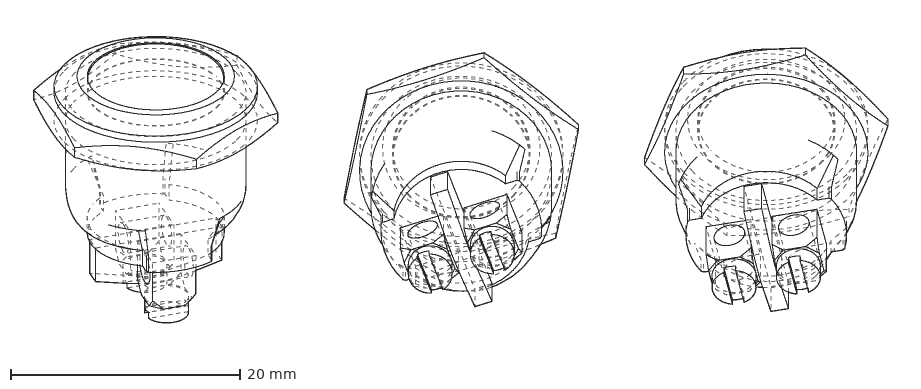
import cadquery as cq
import math


screw_tip_z = 0.0
terminal_bottom_z = 1.6
base_bottom_z = 6.4
base_top_z = 7.95
barrel_bottom_z = 11.0
nut_bottom_z = 17.68
bezel_bottom_z = 20.49
bezel_edge_z = 21.1
bezel_top_z = 22.1

bezel_radius = 8.88
bezel_face_radius = 6.87
barrel_radius = 7.9

button_pocket_radius = 6.0
button_clearance = 0.07
button_edge_radius = 0.18
button_radius = button_pocket_radius - button_clearance

nut_across_flats = 18.8
nut_corner_radius = nut_across_flats / 2 / math.cos(math.pi / 6)
nut_chamfer_height = 0.93

plug_radius = 6.0
lobe_radius = 7.03
lobe_half_width = 3.03
lobe_corner = 0.27
shoulder_y = 3.98
lobe_edge_y = 3.43
transition_steps = 10

divider_thickness = 1.6
divider_half_length = 5.83
divider_end_z = 3.03
divider_point_z = 1.6
divider_tip_radius = 12.15

terminal_width = 4.0
terminal_spacing = 5.88
corner_cut = 1.0
screw_spacing = 5.75
screw_radius = 1.92
slot_width = 1.04
slot_depth = 0.6
wire_hole_radius = 1.37
wire_hole_z = 4.75


def point_on_circle(radius, y):
    """Point at the given Y on the +X half of a circle about the axis."""
    return (math.sqrt(radius**2 - y**2), y)


def blend(start, end, share):
    return tuple(a + (b - a) * share for a, b in zip(start, end))


base_corners = [
    point_on_circle(plug_radius, lobe_half_width),
    (point_on_circle(lobe_radius, lobe_half_width)[0] - lobe_corner / 2, lobe_half_width),
    point_on_circle(lobe_radius, lobe_half_width - lobe_corner / 2),
]
barrel_corners = [
    point_on_circle(barrel_radius, shoulder_y),
    point_on_circle(barrel_radius, lobe_edge_y + lobe_corner / 2),
    point_on_circle(barrel_radius, lobe_edge_y),
]


def lobed_section(z, corners, lobe_reach, plug_reach):
    """Closed outline with a lobe on each X side and a broad arc on each Y side."""
    inner, outer, tip = corners

    def place(point, side_x, side_y):
        return (side_x * point[0], side_y * point[1])

    return (
        cq.Workplane("XY", origin=(0, 0, z))
        .moveTo(*place(tip, 1, -1))
        .threePointArc((lobe_reach, 0), tip)
        .lineTo(*outer)
        .lineTo(*inner)
        .threePointArc((0, plug_reach), place(inner, -1, 1))
        .lineTo(*place(outer, -1, 1))
        .lineTo(*place(tip, -1, 1))
        .threePointArc((-lobe_reach, 0), place(tip, -1, -1))
        .lineTo(*place(outer, -1, -1))
        .lineTo(*place(inner, -1, -1))
        .threePointArc((0, -plug_reach), place(inner, 1, -1))
        .lineTo(*place(outer, 1, -1))
        .close()
    )


def make_transition():
    """Barrel to base: straight taper on the lobes, quarter-ellipse dome on the Y sides."""
    sections = []
    for step in range(transition_steps + 1):
        angle = math.pi / 2 * step / transition_steps
        share = math.sin(angle)
        z = barrel_bottom_z + (base_top_z - barrel_bottom_z) * share
        corners = [blend(a, b, share) for a, b in zip(barrel_corners, base_corners)]
        lobe_reach = barrel_radius + (lobe_radius - barrel_radius) * share
        plug_reach = plug_radius + (barrel_radius - plug_radius) * math.cos(angle)
        sections.append(lobed_section(z, corners, lobe_reach, plug_reach).val())
    return cq.Workplane(cq.Solid.makeLoft(sections))


def make_divider():
    """Wall along Y whose underside slopes to a rounded tip on the axis."""
    return (
        cq.Workplane("YZ", origin=(-divider_thickness / 2, 0, 0))
        .moveTo(-divider_half_length, base_bottom_z)
        .lineTo(-divider_half_length, divider_end_z)
        .lineTo(0, divider_point_z)
        .lineTo(divider_half_length, divider_end_z)
        .lineTo(divider_half_length, base_bottom_z)
        .close()
        .extrude(divider_thickness)
        .edges("<Z")
        .fillet(divider_tip_radius)
    )


def make_housing():
    """Bezel, barrel, transition, base and divider, with a pocket for the button."""
    turned = (
        cq.Workplane("XZ")
        .moveTo(0, barrel_bottom_z)
        .lineTo(barrel_radius, barrel_bottom_z)
        .lineTo(barrel_radius, bezel_bottom_z)
        .lineTo(bezel_radius, bezel_bottom_z)
        .lineTo(bezel_radius, bezel_edge_z)
        .lineTo(bezel_face_radius, bezel_top_z)
        .lineTo(0, bezel_top_z)
        .close()
        .revolve(360, (0, 0), (0, 1))
    )
    pocket = (
        cq.Workplane("XY", origin=(0, 0, bezel_bottom_z))
        .circle(button_pocket_radius)
        .extrude(bezel_top_z - bezel_bottom_z)
    )
    base = lobed_section(base_bottom_z, base_corners, lobe_radius, plug_radius).extrude(
        base_top_z - base_bottom_z
    )
    return turned.cut(pocket).union(make_transition()).union(base).union(make_divider())


def make_button():
    """Disc with a rounded rim standing on the floor of the bezel pocket."""
    return (
        cq.Workplane("XY", origin=(0, 0, bezel_bottom_z))
        .circle(button_radius)
        .extrude(bezel_top_z - bezel_bottom_z)
        .faces(">Z")
        .edges()
        .fillet(button_edge_radius)
    )


def make_nut():
    """Hexagon with conical corners, fitted around the barrel against the bezel."""
    hexagon = (
        cq.Workplane("XY", origin=(0, 0, nut_bottom_z))
        .polygon(6, 2 * nut_corner_radius)
        .extrude(bezel_bottom_z - nut_bottom_z)
    )
    cones = (
        cq.Workplane("XZ")
        .moveTo(barrel_radius, nut_bottom_z)
        .lineTo(bezel_radius, nut_bottom_z)
        .lineTo(nut_corner_radius, nut_bottom_z + nut_chamfer_height)
        .lineTo(nut_corner_radius, bezel_bottom_z - nut_chamfer_height)
        .lineTo(bezel_radius, bezel_bottom_z)
        .lineTo(barrel_radius, bezel_bottom_z)
        .close()
        .revolve(360, (0, 0), (0, 1))
    )
    return hexagon.intersect(cones)


def make_terminal(side):
    """Square clamp block with a wire hole along Y and a slotted screw below it."""
    block_x = side * terminal_spacing / 2
    screw_x = side * screw_spacing / 2
    block_height = base_bottom_z - terminal_bottom_z

    block = (
        cq.Workplane("XY", origin=(block_x, 0, terminal_bottom_z))
        .rect(terminal_width, terminal_width)
        .extrude(block_height)
    )
    diamond_reach = terminal_width - corner_cut
    corner_slicer = (
        cq.Workplane("XY", origin=(block_x, 0, terminal_bottom_z))
        .polygon(4, 2 * diamond_reach)
        .workplane(offset=block_height)
        .polygon(4, 2 * (diamond_reach + block_height))
        .loft(ruled=True)
    )
    wire_hole = (
        cq.Workplane("XZ", origin=(screw_x, 0, wire_hole_z))
        .circle(wire_hole_radius)
        .extrude(terminal_width, both=True)
    )
    screw = (
        cq.Workplane("XY", origin=(screw_x, 0, screw_tip_z))
        .circle(screw_radius)
        .extrude(terminal_bottom_z - screw_tip_z)
    )
    slot = (
        cq.Workplane("XY", origin=(screw_x, 0, screw_tip_z))
        .rect(slot_width, 2 * screw_radius)
        .extrude(slot_depth)
    )
    return block.intersect(corner_slicer).cut(wire_hole).union(screw.cut(slot))


housing = make_housing()
button = make_button()
nut = make_nut()
terminals = [make_terminal(side) for side in (-1, 1)]

result = cq.Compound.makeCompound(
    [housing.val(), button.val(), nut.val(), *[terminal.val() for terminal in terminals]]
)